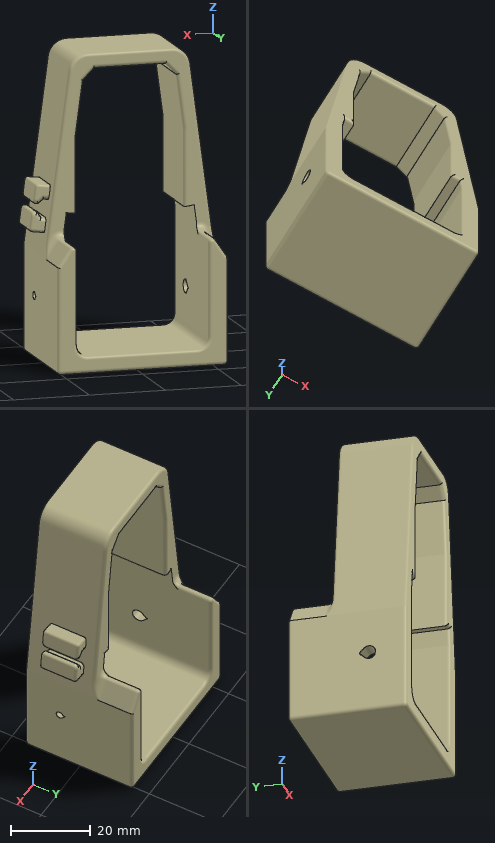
import cadquery as cq
import math

depth = 31.4
height = 80.2
half_width = 22.4
taper_start = 27.8
taper_angle = math.radians(7.6)
crown_radius = 5.0
edge_radius = 1.0

side_wall = 5.0
taper_wall = 4.0
floor_height = 4.5
floor_corner = 3.0
rail_half_gap = 14.2
ledge_height = 39.0
ceiling_height = height - taper_wall
ceiling_chamfer = 3.0

arch_depth = 20.0
step_fillet = 2.0
clearance = 10.0

hole_y = 10.1
hole_z = 16.3
left_hole_radius = 1.75
right_hole_radius = 1.0

clip_y_start = 5.9
clip_width = 10.6
clip_reach = 3.8
clip_root = 1.0
clip_center = 12.15
clip_half_height = 6.2
clip_edge_radius = 0.8
socket_half_height = 2.3
mouth_half_height = 1.0
mouth_start = 2.5
socket_edge_radius = 1.2

tolerance = 0.01
slope = math.tan(taper_angle)
wall_across = taper_wall / math.cos(taper_angle)
opening_half_width = half_width - side_wall


def outer_x(z):
    """Half width of the tapered outside at height z."""
    return half_width - (z - taper_start) * slope


def inner_x(z):
    """Half width of the tapered inside at height z."""
    return outer_x(z) - wall_across


def inner_z(x):
    """Height at which the tapered inside has half width x."""
    return taper_start + (half_width - wall_across - x) / slope


inner_taper_start = inner_z(opening_half_width)


def mirrored_prism(right_side, y_start, length):
    """Prism along +Y from the right half of an outline that is symmetric about X = 0."""
    left_side = [(-x, z) for x, z in reversed(right_side)]
    outline = cq.Workplane("XZ", origin=(0, y_start, 0)).polyline(right_side + left_side).close()
    return outline.extrude(-length)


def edges_in_plane(solid, y, z_low, z_high):
    """Edges lying in the plane Y = y whose centers are between two heights."""
    reach = half_width + clearance
    region = cq.selectors.BoxSelector((-reach, y - tolerance, z_low), (reach, y + tolerance, z_high))
    return solid.edges(region)


def make_block():
    right_side = [(half_width, 0), (half_width, taper_start), (outer_x(height), height)]
    block = mirrored_prism(right_side, 0, depth)
    return block.edges("|Y and >Z").fillet(crown_radius)


def make_opening():
    ledge_x = inner_x(ledge_height)
    ledge_rise = (ledge_x - rail_half_gap) * slope
    chamfer_z = ceiling_height - ceiling_chamfer
    chamfer_x = inner_x(chamfer_z)
    right_side = [
        (opening_half_width, floor_height),
        (opening_half_width, inner_taper_start),
        (inner_x(ledge_height + ledge_rise), ledge_height + ledge_rise),
        (rail_half_gap, ledge_height),
        (rail_half_gap, inner_z(rail_half_gap)),
        (chamfer_x, chamfer_z),
        (chamfer_x - ceiling_chamfer, ceiling_height),
    ]
    opening = mirrored_prism(right_side, 0, depth)
    return opening.edges("|Y and <Z").fillet(floor_corner)


def make_back_step():
    """Space behind the arch, above slopes that join the outer and inner taper starts."""
    steepness = (inner_taper_start - taper_start) / side_wall
    slope_foot = taper_start - clearance * steepness
    right_side = [
        (half_width + clearance, height + clearance),
        (half_width + clearance, slope_foot),
        (opening_half_width, inner_taper_start),
        (opening_half_width, floor_height + floor_corner),
    ]
    step = mirrored_prism(right_side, arch_depth, depth)

    wall_tops = cq.selectors.BoxSelector(
        (-half_width, arch_depth, inner_taper_start - tolerance),
        (half_width, arch_depth + depth, inner_taper_start + tolerance),
    )
    step = step.edges("|Y").edges(wall_tops).fillet(edge_radius)

    front_edges = edges_in_plane(step, arch_depth, slope_foot, height).vals()
    corner_edges = [
        edge
        for edge in front_edges
        if opening_half_width + tolerance < abs(edge.Center().x) < half_width + clearance - tolerance
    ]
    return step.newObject(corner_edges).fillet(step_fillet)


def round_rims(frame):
    """Round the front and back rims, the bottom edges and the back rim of the arch."""
    rims = frame.faces("<Y or >Y or <Z").edges()
    rims = rims.add(edges_in_plane(frame, arch_depth, ledge_height + edge_radius, height + edge_radius))
    return rims.fillet(edge_radius)


def make_teardrop(radius, x_start, length):
    """Prism along +X: a circle with a square-cornered point toward +Y."""
    tangent = radius * math.sqrt(0.5)
    outline = (
        cq.Workplane("YZ", origin=(x_start, hole_y, hole_z))
        .moveTo(tangent, tangent)
        .threePointArc((-radius, 0), (tangent, -tangent))
        .lineTo(2 * tangent, 0)
        .close()
    )
    return outline.extrude(length)


def make_prong(side):
    """One jaw of the clip, above (side = 1) or below (side = -1) its middle."""
    clip_plane = cq.Plane(
        origin=(half_width, clip_y_start, taper_start),
        xDir=(math.cos(taper_angle), 0, math.sin(taper_angle)),
        normal=(0, -1, 0),
    )
    neck_start = mouth_start - (socket_half_height - mouth_half_height)
    jaw = [
        (-clip_root, socket_half_height),
        (neck_start, socket_half_height),
        (mouth_start, mouth_half_height),
        (clip_reach, mouth_half_height),
    ]
    back = [(clip_reach, clip_half_height), (-clip_root, clip_half_height)]
    outline = [(u, clip_center + side * v) for u, v in jaw + back]
    prong = cq.Workplane(clip_plane).polyline(outline).close().extrude(-clip_width)

    def on_socket(edge):
        v = side * (clip_plane.toLocalCoords(edge.Center()).y - clip_center)
        return v < socket_half_height + tolerance

    def on_outside(edge):
        center = clip_plane.toLocalCoords(edge.Center())
        v = side * (center.y - clip_center)
        return center.x > clip_reach - tolerance or v > clip_half_height - tolerance

    def on_corner(edge):
        center = clip_plane.toLocalCoords(edge.Center())
        v = side * (center.y - clip_center)
        return center.x > clip_reach - tolerance and v > clip_half_height - tolerance

    socket_rims = [edge for edge in prong.faces("<Y or >Y").edges().vals() if on_socket(edge)]
    prong = prong.newObject(socket_rims).fillet(socket_edge_radius)
    outer_rims = [edge for edge in prong.faces("<Y or >Y").edges().vals() if on_outside(edge)]
    corner = [edge for edge in prong.edges("|Y").vals() if on_corner(edge)]
    return prong.newObject(outer_rims + corner).fillet(clip_edge_radius)


result = round_rims(make_block().cut(make_opening()).cut(make_back_step()))
result = result.cut(make_teardrop(left_hole_radius, -half_width, half_width))
result = result.cut(make_teardrop(right_hole_radius, 0, half_width))
result = result.union(make_prong(1)).union(make_prong(-1))